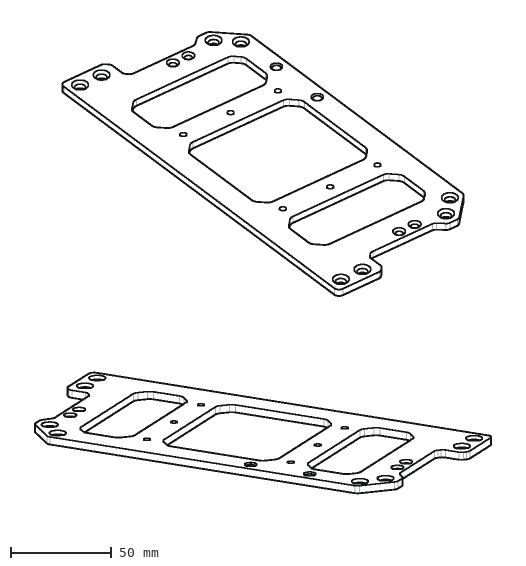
import cadquery as cq

length = 223.5
width = 100.0
thickness = 4.0
half_length = length / 2
half_width = width / 2

shoulder_x = 100.8
neck_x = 96.1
bump_chamfer = 14.8
bump_bottom_y = 28.5
neck_top_y = 23.0
foot_top_y = -20.0
outline_radius = 3.0
foot_chamfer = 3.0

window_height = 72.0
center_window_width = 64.2
side_window_inner_x = 48.3
side_window_outer_x = 77.8
window_chamfer = 5.8
outer_top_chamfer = 5.0
window_corner_radius = 4.0

countersink_angle = 90.0
large_hole_diameter = 5.4
large_head_diameter = 8.3
large_hole_points = [(84.0, 42.7), (93.5, 32.9), (104.9, -29.0), (104.9, -42.7)]
small_hole_diameter = 3.8
small_head_diameter = 6.3
small_hole_points = [(91.0, 15.0), (91.0, 5.1)]

edge_hole_diameter = 4.5
edge_head_diameter = 6.0
edge_hole_points = [(-56.5, 43.5), (-23.7, 43.5)]

pin_diameter = 3.4
pin_x = 40.0
pin_center_y = 1.5
pin_pitch = 30.0


def both_sides(points):
    """Return the points together with their mirror images across X = 0."""
    return [(side * x, y) for side in (-1, 1) for x, y in points]


def make_plate():
    right_side = [
        (half_length, -half_width),
        (half_length, foot_top_y - foot_chamfer),
        (half_length - foot_chamfer, foot_top_y),
        (neck_x + foot_chamfer, foot_top_y),
        (neck_x, foot_top_y + foot_chamfer),
        (neck_x, neck_top_y),
        (shoulder_x, bump_bottom_y),
        (shoulder_x, half_width - bump_chamfer),
        (shoulder_x - bump_chamfer, half_width),
    ]
    left_side = [(-x, y) for x, y in reversed(right_side)]
    plate = cq.Workplane("XY").polyline(right_side + left_side).close().extrude(thickness)
    return plate.edges("|Z").fillet(outline_radius)


def make_window(left_x, right_x, top_right_chamfer):
    """Return the cutter for a window whose 45 degree corners have rounded ends."""
    top_y = window_height / 2
    window = cq.Workplane("XY").polyline([
        (left_x + window_chamfer, -top_y),
        (right_x - window_chamfer, -top_y),
        (right_x, -top_y + window_chamfer),
        (right_x, top_y - top_right_chamfer),
        (right_x - top_right_chamfer, top_y),
        (left_x + window_chamfer, top_y),
        (left_x, top_y - window_chamfer),
        (left_x, -top_y + window_chamfer),
    ]).close().extrude(thickness)
    return window.edges("|Z").fillet(window_corner_radius)


def cut_countersinks(plate, points, hole_diameter, head_diameter):
    top = plate.faces(">Z").workplane(origin=(0, 0, thickness))
    return top.pushPoints(points).cskHole(hole_diameter, head_diameter, countersink_angle)


result = make_plate()

center_half_width = center_window_width / 2
result = result.cut(make_window(-center_half_width, center_half_width, window_chamfer))
side_window = make_window(side_window_inner_x, side_window_outer_x, outer_top_chamfer)
result = result.cut(side_window).cut(side_window.mirror("YZ"))

result = cut_countersinks(result, both_sides(large_hole_points), large_hole_diameter, large_head_diameter)
result = cut_countersinks(result, both_sides(small_hole_points), small_hole_diameter, small_head_diameter)
result = cut_countersinks(result, edge_hole_points, edge_hole_diameter, edge_head_diameter)

pin_points = [(pin_x, pin_center_y + row * pin_pitch) for row in (-1, 0, 1)]
pin_face = result.faces(">Z").workplane(origin=(0, 0, thickness))
result = pin_face.pushPoints(both_sides(pin_points)).hole(pin_diameter)